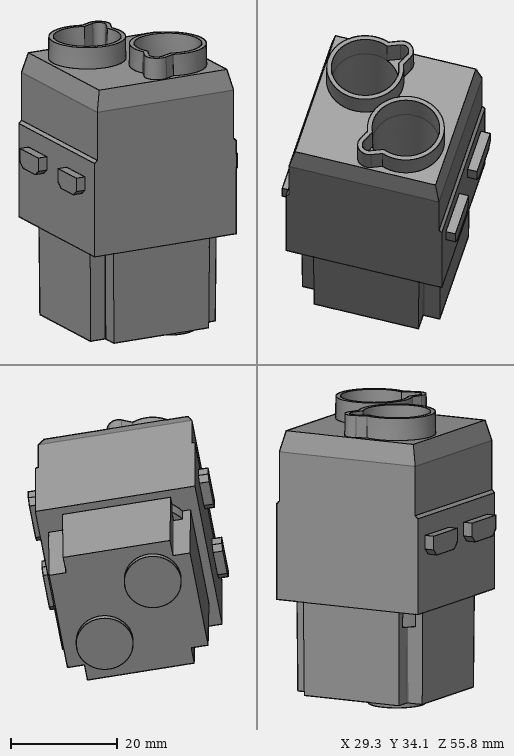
import cadquery as cq
import math

contact_offset = 5.6
shank_radius = 5.35
tip_radius = 4.5
tip_height = 7.8
shoulder_z = 27.9

block_bottom_z = 1.1
body_bottom_z = 19.3
ledge_z = 38.2
bevel_bottom_z = 47.6
deck_z = 51.55
collar_top_z = 55.75

body_width = 29.3
ledge_depth = 0.55
ledge_slope_height = 0.55
bevel_inset = 0.95

block_length_x = 26.3
block_length_y = 27.1
notch_size = 3.25
block_draft = 0.4

stop_radius = 7.75
stop_height = 3.4
stop_limit = 2.25

lug_spacing = 14.7
lug_reach = 1.85
lug_top_z = 34.0
lug_chamfer_top_z = 31.4
front_lug_width = 7.1
front_lug_height = 3.55
back_lug_width = 9.05
back_lug_height = 3.8
lug_chamfer_width = 1.15

collar_radius = 7.3
collar_wall = 0.95
lobe_radius = 2.35
lobe_distance = 7.75
lobe_flare = 22.0
collar_draft = 1.0
recess_floor_z = 51.05

recess_shrink = (collar_top_z - recess_floor_z) * math.tan(math.radians(collar_draft))
bore_top_radius = collar_radius - collar_wall - recess_shrink
bore_bottom_radius = 5.65
funnel_height = 1.95

contact_places = [
    (-1, 135.0),
    (1, -45.0),
]


def box_between(length_x, length_y, z_low, z_high):
    """Rectangular block centred on the Z axis between two heights."""
    return cq.Workplane("XY", origin=(0, 0, z_low)).rect(length_x, length_y).extrude(z_high - z_low)


def upper_body():
    """Square body, thicker in Y below a sloped ledge and bevelled around the deck."""
    body = box_between(body_width, body_width, body_bottom_z, bevel_bottom_z)
    bevel_draft = math.degrees(math.atan2(bevel_inset, deck_z - bevel_bottom_z))
    bevel = (
        cq.Workplane("XY", origin=(0, 0, bevel_bottom_z))
        .rect(body_width, body_width)
        .extrude(deck_z - bevel_bottom_z, taper=bevel_draft)
    )
    half_y = body_width / 2
    outer_y = half_y + ledge_depth
    slope_bottom_z = ledge_z - ledge_slope_height
    thick_part = (
        cq.Workplane("YZ", origin=(-body_width / 2, 0, 0))
        .polyline([
            (-outer_y, body_bottom_z),
            (outer_y, body_bottom_z),
            (outer_y, slope_bottom_z),
            (half_y, ledge_z),
            (-half_y, ledge_z),
            (-outer_y, slope_bottom_z),
        ])
        .close()
        .extrude(body_width)
    )
    return body.union(thick_part).union(bevel)


def lower_block():
    """Slightly tapered block with notched corners, narrowing downward, and two round stops."""
    inner_x = block_length_x - 2 * notch_size
    inner_y = block_length_y - 2 * notch_size
    height = body_bottom_z - block_bottom_z
    top = cq.Workplane("XY", origin=(0, 0, body_bottom_z))
    cross = cq.Sketch().rect(block_length_x, inner_y).rect(inner_x, block_length_y).clean()
    block = top.placeSketch(cross).extrude(-height, taper=block_draft)
    envelope = box_between(
        inner_x + 2 * stop_limit, inner_y + 2 * stop_limit, block_bottom_z, body_bottom_z
    )
    for side, _ in contact_places:
        stop = (
            top.center(side * contact_offset, side * contact_offset)
            .circle(stop_radius)
            .extrude(-stop_height)
        )
        block = block.union(stop.intersect(envelope))
    return block


def lug(x, face_sign, width, height):
    """Lug on the front (-1) or back (+1) face with its two lower corners cut off."""
    bottom_z = lug_top_z - height
    half = width / 2
    face_y = face_sign * (body_width / 2 + ledge_depth)
    return (
        cq.Workplane("XZ", origin=(x, face_y, 0))
        .polyline([
            (-half, lug_top_z),
            (half, lug_top_z),
            (half, lug_chamfer_top_z),
            (half - lug_chamfer_width, bottom_z),
            (lug_chamfer_width - half, bottom_z),
            (-half, lug_chamfer_top_z),
        ])
        .close()
        .extrude(-face_sign * lug_reach)
    )


def lobed_outline(side, lobe_direction, z, inset):
    """Circle around a contact axis with a rounded, flared lobe, shrunk by inset."""
    main_radius = collar_radius - inset
    end_radius = lobe_radius - inset
    flare = math.radians(lobe_flare)
    side_distance = end_radius + lobe_distance * math.sin(flare)
    normal_angle = math.pi / 2 - flare
    corner_angle = normal_angle - math.acos(side_distance / main_radius)
    corner_x = main_radius * math.cos(corner_angle)
    corner_y = main_radius * math.sin(corner_angle)
    tangent_x = lobe_distance + end_radius * math.cos(normal_angle)
    tangent_y = end_radius * math.sin(normal_angle)
    origin = (side * contact_offset, side * contact_offset, z)
    return (
        cq.Workplane("XY", origin=origin)
        .transformed(rotate=(0, 0, lobe_direction))
        .moveTo(corner_x, corner_y)
        .threePointArc((-main_radius, 0), (corner_x, -corner_y))
        .lineTo(tangent_x, -tangent_y)
        .threePointArc((lobe_distance + end_radius, 0), (tangent_x, tangent_y))
        .close()
    )


def collar(side, lobe_direction):
    """Drafted lobed wall standing on the deck, still filled inside."""
    return lobed_outline(side, lobe_direction, deck_z, 0).extrude(
        collar_top_z - deck_z, taper=collar_draft
    )


def recess(side, lobe_direction):
    """Lobed opening inside a collar, narrowing downward."""
    return lobed_outline(side, lobe_direction, collar_top_z, collar_wall).extrude(
        recess_floor_z - collar_top_z, taper=collar_draft
    )


def contact_bore(side):
    """Round space for a contact: shank hole, funnel, then a tapered bore up to the recess."""
    profile = (
        cq.Workplane("XZ")
        .polyline([
            (0, block_bottom_z),
            (shank_radius, block_bottom_z),
            (shank_radius, shoulder_z),
            (tip_radius, shoulder_z),
            (bore_bottom_radius, shoulder_z + funnel_height),
            (bore_top_radius, recess_floor_z),
            (0, recess_floor_z),
        ])
        .close()
    )
    bore = profile.revolve(360, (0, 0, 0), (0, 1, 0))
    return bore.translate((side * contact_offset, side * contact_offset, 0))


def make_housing():
    body = upper_body().union(lower_block())
    for side_x in (-1, 1):
        x = side_x * lug_spacing / 2
        body = body.union(lug(x, -1, front_lug_width, front_lug_height))
        body = body.union(lug(x, 1, back_lug_width, back_lug_height))
    for side, lobe_direction in contact_places:
        body = body.union(collar(side, lobe_direction))
    for side, lobe_direction in contact_places:
        body = body.cut(recess(side, lobe_direction))
        body = body.cut(contact_bore(side))
    return body


def make_contact(side):
    """Round shank with a shoulder and a smaller conical tip pointing up."""
    profile = (
        cq.Workplane("XZ")
        .polyline([
            (0, 0),
            (shank_radius, 0),
            (shank_radius, shoulder_z),
            (tip_radius, shoulder_z),
            (0, shoulder_z + tip_height),
        ])
        .close()
    )
    contact = profile.revolve(360, (0, 0, 0), (0, 1, 0))
    return contact.translate((side * contact_offset, side * contact_offset, 0))


housing = make_housing()
contacts = [make_contact(side) for side, _ in contact_places]

result = cq.Compound.makeCompound([housing.val(), *[contact.val() for contact in contacts]])